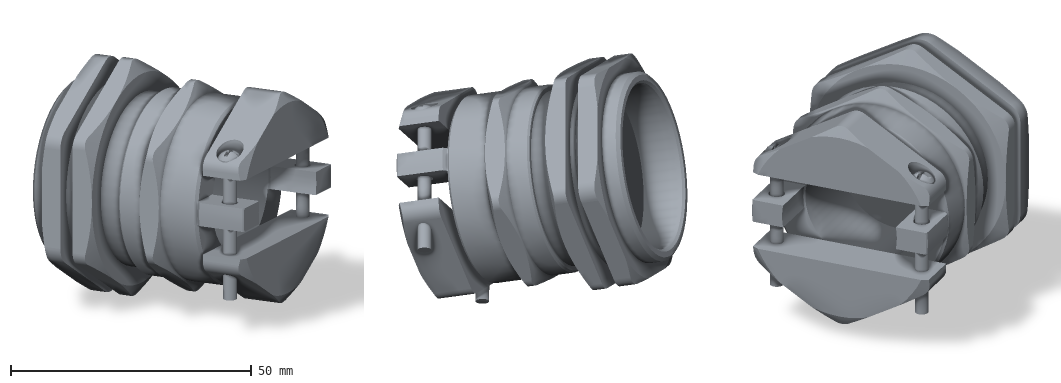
import cadquery as cq
import math


total_length = 49.7
locknut_start = 3.8
locknut_end = 8.15
thread_end = 10.05
body_hex_start = 11.0
body_hex_end = 15.5
neck_end = 20.25
nut_hex_start = 25.2
nut_hex_end = 30.1
nut_end = 38.65

thread_dia = 39.85
neck_dia = 36.85
nut_dia = 39.5
entry_bore_dia = 35.0
entry_bore_depth = 9.1
entry_bore_chamfer = 0.5
thread_chamfer = 0.75
thread_groove_depth = 0.6
nut_front_chamfer = 0.4
nut_rear_chamfer = 0.6

body_hex_flats = 45.0
body_hex_corner_radius = 3.0
locknut_corner_radius = 4.0
locknut_bevel_dia = 46.3
locknut_bevel_angle = 20.0
nut_hex_flats = 40.15
nut_hex_corner_radius = 3.0
bevel_angle = 30.0

lug_outer_dia = nut_hex_flats
lug_inner_dia = 26.2
lug_height = 5.0
lug_root_chamfer = 0.7
lug_tip_chamfer = 0.25
cable_bore_dia = 25.5
flare_overrun = 0.4
screw_clearance_dia = 3.5

clamp_start = 40.2
clamp_gap = 17.0
clamp_bevel_dia = 41.0
screw_x = 44.75
screw_y = 16.55
screw_dia = 2.85
screw_tip_z = -18.3
counterbore_dia = 5.7
head_dia = 5.2
head_seat_z = 11.0
head_rim_z = 12.0
head_top_z = 13.7
cross_length = 4.1
cross_width = 0.85
cross_depth = 0.9


def revolve_about_x(points):
    """Solid of revolution from an (x, radius) outline that may touch the X axis."""
    return cq.Workplane("XY").polyline(points).close().revolve(360, (0, 0, 0), (1, 0, 0))


def cylinder_z(x, y, bottom, top, diameter):
    return cq.Workplane("XY", origin=(x, y, bottom)).circle(diameter / 2).extrude(top - bottom)


def hexagon(start, end, flats, corner_radius, front_bevel=None, rear_bevel=None):
    """Hexagonal prism with corners up and down; a bevel is (face diameter, angle in degrees)."""
    corner_dia = flats / math.cos(math.radians(30))
    prism = (
        cq.Workplane("YZ", origin=(start, 0, 0))
        .transformed(rotate=(0, 0, 90))
        .polygon(6, corner_dia)
        .extrude(end - start)
        .edges("|X")
        .fillet(corner_radius)
    )
    rim = corner_dia / 2
    outline = [(start, 0)]
    for face_x, inward, bevel in ((start, 1, front_bevel), (end, -1, rear_bevel)):
        if bevel is None:
            outline.append((face_x, rim))
            continue
        face_dia, angle = bevel
        setback = (rim - face_dia / 2) * math.tan(math.radians(angle))
        bevel_points = [(face_x, face_dia / 2), (face_x + inward * setback, rim)]
        outline += bevel_points[::inward]
    outline.append((end, 0))
    return prism.intersect(revolve_about_x(outline))


def gland_core():
    """Round body: thread, run-out groove, rounded seal, neck and nut."""
    thread_r = thread_dia / 2
    neck_r = neck_dia / 2
    nut_r = nut_dia / 2
    groove_r = thread_r - thread_groove_depth
    return (
        cq.Workplane("XY")
        .lineTo(0, thread_r - thread_chamfer)
        .lineTo(thread_chamfer, thread_r)
        .lineTo(thread_end - thread_groove_depth, thread_r)
        .lineTo(thread_end, groove_r)
        .radiusArc((thread_end + thread_groove_depth, thread_r), thread_groove_depth)
        .lineTo(body_hex_start, thread_r)
        .lineTo(body_hex_start, neck_r)
        .lineTo(neck_end, neck_r)
        .lineTo(neck_end, nut_r - nut_front_chamfer)
        .lineTo(neck_end + nut_front_chamfer, nut_r)
        .lineTo(nut_end - nut_rear_chamfer, nut_r)
        .lineTo(nut_end, nut_r - nut_rear_chamfer)
        .lineTo(nut_end, 0)
        .close()
        .revolve(360, (0, 0, 0), (1, 0, 0))
    )


def lugs():
    """Two opposite lugs: a turned ring trimmed to a flat band across Y."""
    outer_r = lug_outer_dia / 2
    ring = revolve_about_x([
        (nut_end - nut_rear_chamfer, 0),
        (nut_end - nut_rear_chamfer, outer_r - lug_root_chamfer),
        (nut_end, outer_r - lug_root_chamfer),
        (nut_end + lug_root_chamfer, outer_r),
        (total_length - lug_tip_chamfer, outer_r),
        (total_length, outer_r - lug_tip_chamfer),
        (total_length, 0),
    ])
    band = cq.Workplane("XY").box(2 * total_length, lug_outer_dia, lug_height)
    return ring.intersect(band)


def entry_bore():
    bore_r = entry_bore_dia / 2
    return revolve_about_x([
        (0, 0),
        (0, bore_r + entry_bore_chamfer),
        (entry_bore_chamfer, bore_r),
        (entry_bore_depth, bore_r),
        (entry_bore_depth, 0),
    ])


def cable_bore():
    """Blind bore through the nut that flares to the inside of the lugs near the nut's end face."""
    bore_r = cable_bore_dia / 2
    lug_r = lug_inner_dia / 2
    flare_end = nut_end + flare_overrun
    return revolve_about_x([
        (neck_end, 0),
        (neck_end, bore_r),
        (flare_end - (lug_r - bore_r), bore_r),
        (flare_end, lug_r),
        (total_length, lug_r),
        (total_length, 0),
    ])


def build_gland():
    locknut_bevel = (locknut_bevel_dia, locknut_bevel_angle)
    body_bevel = (body_hex_flats, bevel_angle)
    nut_bevel = (nut_dia, bevel_angle)
    gland = (
        gland_core()
        .union(hexagon(locknut_start, locknut_end, body_hex_flats, locknut_corner_radius,
                       front_bevel=locknut_bevel))
        .union(hexagon(body_hex_start, body_hex_end, body_hex_flats, body_hex_corner_radius,
                       rear_bevel=body_bevel))
        .union(hexagon(nut_hex_start, nut_hex_end, nut_hex_flats, nut_hex_corner_radius,
                       front_bevel=nut_bevel, rear_bevel=nut_bevel))
        .union(lugs())
        .cut(entry_bore())
        .cut(cable_bore())
    )
    for side in (-1, 1):
        gland = gland.cut(
            cylinder_z(screw_x, side * screw_y, -lug_height, lug_height, screw_clearance_dia)
        )
    return gland


def screw(y):
    """Domed cross-head screw pointing down."""
    shank = cylinder_z(screw_x, y, screw_tip_z, head_seat_z, screw_dia)
    head_r = head_dia / 2
    dome_rise = head_top_z - head_rim_z
    dome_radius = (head_r**2 + dome_rise**2) / (2 * dome_rise)
    dome_centre_z = head_top_z - dome_radius
    dome = cq.Workplane("XY").sphere(dome_radius).translate((screw_x, y, dome_centre_z))
    head = cylinder_z(screw_x, y, head_seat_z, head_top_z, head_dia).intersect(dome)
    for slot_size in ((cross_length, cross_width), (cross_width, cross_length)):
        slot_floor = cq.Workplane("XY", origin=(screw_x, y, head_top_z - cross_depth))
        head = head.cut(slot_floor.rect(*slot_size).extrude(cross_depth))
    return shank.union(head)


def build_clamp():
    """Upper and lower jaws cut from one hexagon and joined by the two screws."""
    clamp = hexagon(clamp_start, total_length, nut_hex_flats, nut_hex_corner_radius,
                    rear_bevel=(clamp_bevel_dia, bevel_angle))
    gap = cq.Workplane("XY").box(2 * total_length, 2 * nut_hex_flats, clamp_gap)
    clamp = clamp.cut(gap)
    for side in (-1, 1):
        y = side * screw_y
        clamp = clamp.cut(cylinder_z(screw_x, y, head_seat_z, nut_hex_flats, counterbore_dia))
        clamp = clamp.union(screw(y))
    return clamp


gland = build_gland()
clamp = build_clamp()
result = cq.Compound.makeCompound([*gland.solids().vals(), *clamp.solids().vals()])